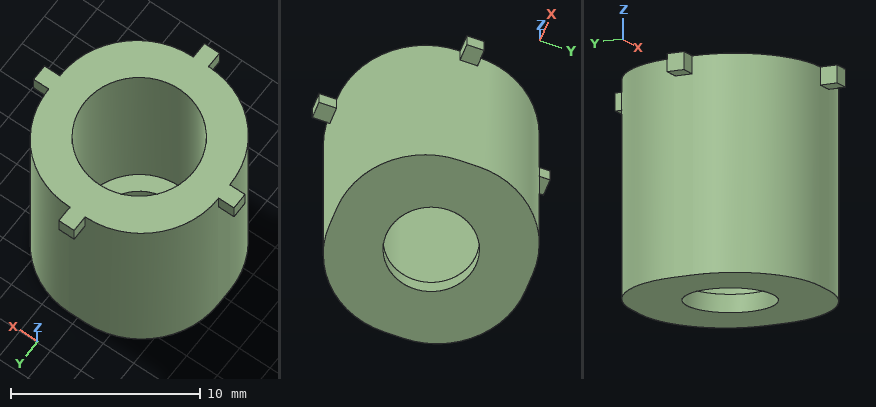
import cadquery as cq

overall_span = 13.1
height = 12.0
tab_reach = 1.0
tab_width = 1.0
tab_height = 1.0

body_width = overall_span - 2 * tab_reach
corner_radius = 5.0

bore_diameter = 7.1
floor_hole_diameter = 5.1
floor_thickness = (bore_diameter - floor_hole_diameter) / 2


def make_sleeve():
    """Rounded-square column standing on the XY plane."""
    column = cq.Workplane("XY").rect(body_width, body_width).extrude(height)
    return column.edges("|Z").fillet(corner_radius)


def make_tab_bar(length_x, length_y):
    """Bar across the sleeve, flush with its top; its two ends form opposite tabs."""
    bar = cq.Workplane("XY").workplane(offset=height - tab_height)
    return bar.rect(length_x, length_y).extrude(tab_height)


def make_stepped_bore():
    """Narrow through hole with the wide bore above the floor."""
    hole = cq.Workplane("XY").circle(floor_hole_diameter / 2).extrude(height)
    bore = cq.Workplane("XY").workplane(offset=floor_thickness)
    return hole.union(bore.circle(bore_diameter / 2).extrude(height - floor_thickness))


result = (
    make_sleeve()
    .union(make_tab_bar(overall_span, tab_width))
    .union(make_tab_bar(tab_width, overall_span))
    .cut(make_stepped_bore())
)